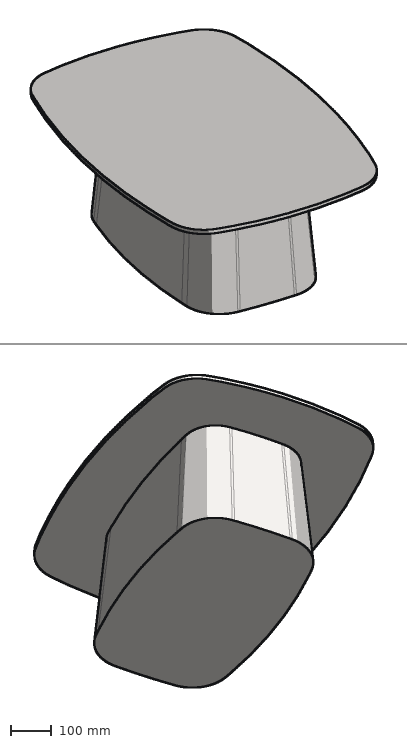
import cadquery as cq
import math

table_height = 332.0
top_thickness = 12.0
base_height = table_height - top_thickness

top_shape = (450.0, 325.0, 1600.0, 1000.0, 106.0)

taper_inset = 30.0
floor_half_length = 320.0
floor_half_width = 200.0
floor_shape = (floor_half_length, floor_half_width, 1300.0, 1600.0, 103.0)
head_shape = (floor_half_length - taper_inset, floor_half_width - taper_inset, 1600.0, 1100.0, 88.0)

long_strip = 20.0
short_strip = 6.5

points_per_arc = 8


def corner_center(half_length, half_width, long_radius, short_radius, corner_radius):
    """Centre of the +X +Y corner arc, which touches a long and a short side from inside."""
    long_center_y = half_width - long_radius
    short_center_x = half_length - short_radius
    long_reach = long_radius - corner_radius
    short_reach = short_radius - corner_radius
    spacing = math.hypot(short_center_x, long_center_y)
    along = (long_reach**2 - short_reach**2 + spacing**2) / (2 * spacing)
    across = math.sqrt(long_reach**2 - along**2)
    along_x = short_center_x / spacing
    along_y = -long_center_y / spacing
    x = along * along_x + across * along_y
    y = long_center_y + along * along_y - across * along_x
    return x, y


def outline_arcs(shape, long_end_strip=0.0, short_end_strip=0.0):
    """Arcs around a rounded rectangle with bowed sides, counter-clockwise from the -X -Y corner.

    Each arc is (centre x, centre y, radius, list of angles): the angles are its start, its end
    and, where strips are given, the two places that cut a strip off each end of a side.
    """
    half_length, half_width, long_radius, short_radius, corner_radius = shape
    long_center_y = half_width - long_radius
    short_center_x = half_length - short_radius
    corner_x, corner_y = corner_center(*shape)
    long_end = math.atan2(corner_y - long_center_y, corner_x)
    short_end = math.atan2(corner_y, corner_x - short_center_x)

    long_angles = [long_end, math.pi - long_end]
    short_angles = [math.pi - short_end, math.pi + short_end]
    if long_end_strip:
        long_cut = long_end_strip / long_radius
        long_angles[1:1] = [long_end + long_cut, math.pi - long_end - long_cut]
    if short_end_strip:
        short_cut = short_end_strip / short_radius
        short_angles[1:1] = [math.pi - short_end + short_cut, math.pi + short_end - short_cut]

    half_turn = [
        (0.0, long_center_y, long_radius, long_angles),
        (-corner_x, corner_y, corner_radius, [math.pi - long_end, math.pi - short_end]),
        (-short_center_x, 0.0, short_radius, short_angles),
        (-corner_x, -corner_y, corner_radius, [math.pi + short_end, math.pi + long_end]),
    ]
    front_half = [(-x, -y, radius, [a + math.pi for a in angles]) for x, y, radius, angles in half_turn]
    return front_half + half_turn


def point_on_arc(x, y, radius, angle, height):
    return cq.Vector(x + radius * math.cos(angle), y + radius * math.sin(angle), height)


def pedestal_outline(shape, height):
    """Closed outline of arcs, with the strips as separate edges."""
    edges = []
    for x, y, radius, angles in outline_arcs(shape, long_strip, short_strip):
        for start, end in zip(angles, angles[1:]):
            steps = (start, (start + end) / 2, end)
            edges.append(cq.Edge.makeThreePointArc(*[point_on_arc(x, y, radius, a, height) for a in steps]))
    return cq.Wire.assembleEdges(edges)


def build_pedestal():
    """Tapered base with straight walls from the floor to the underside of the tabletop."""
    floor_outline = pedestal_outline(floor_shape, 0.0)
    head_outline = pedestal_outline(head_shape, base_height)
    return cq.Workplane(cq.Solid.makeLoft([floor_outline, head_outline], True))


def build_tabletop():
    """Flat plate whose rim is one smooth closed curve with its seam at the -X -Y corner."""
    rim_points = []
    for x, y, radius, (start, end) in outline_arcs(top_shape):
        for i in range(points_per_arc):
            angle = start + (end - start) * i / points_per_arc
            rim_points.append(point_on_arc(x, y, radius, angle, base_height))
    rim = cq.Wire.assembleEdges([cq.Edge.makeSpline(rim_points, periodic=True)])
    return cq.Workplane(cq.Solid.extrudeLinear(rim, [], cq.Vector(0, 0, top_thickness)))


pedestal = build_pedestal()
tabletop = build_tabletop()
result = cq.Compound.makeCompound([pedestal.val(), tabletop.val()])